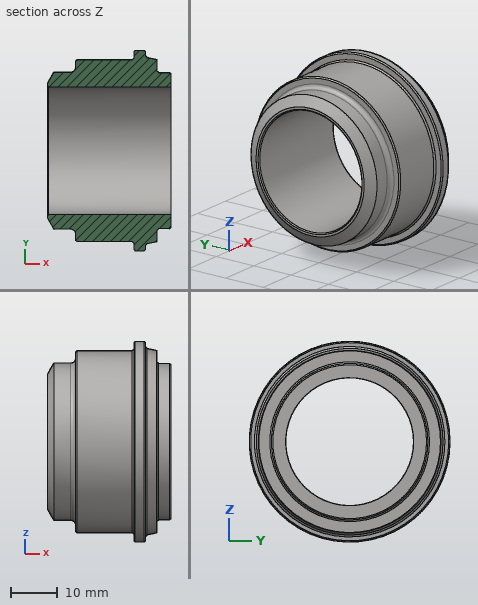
import cadquery as cq
import math

bore_radius = 27.3 / 2
tail_radius = 33.5 / 2
neck_radius = 33.7 / 2
body_radius = 39.0 / 2
flange_radius = 43 / 2
cone_end_radius = 19.52
cone_angle = 12.0

body_start = 6.0
flange_start = 18.5
flange_end = 21.03
cone_end = 23.48
total_length = 26.5

bevel_length = 1.38
bevel_height = 2.4
bore_chamfer = 0.25
neck_fillet = 1.05
step_chamfer = 0.35
edge_chamfer = 0.3
cone_edge_chamfer = 0.1

cone_start_radius = cone_end_radius + (cone_end - flange_end) * math.tan(math.radians(cone_angle))


def step_edge(solid, x, radius):
    """Select the circular edge of the given radius around the X axis at x."""
    reach = 0.005

    def is_wanted(edge):
        box = edge.BoundingBox()
        return abs(box.center.x - x) < reach and box.xlen < reach and abs(box.ylen / 2 - radius) < reach

    return solid.newObject([edge for edge in solid.edges().vals() if is_wanted(edge)])


half_section = (
    cq.Workplane("XY")
    .moveTo(bore_chamfer, bore_radius)
    .lineTo(0, bore_radius + bore_chamfer)
    .lineTo(0, neck_radius - bevel_height)
    .lineTo(bevel_length, neck_radius)
    .lineTo(body_start, neck_radius)
    .lineTo(body_start, body_radius)
    .lineTo(flange_start, body_radius)
    .lineTo(flange_start, flange_radius)
    .lineTo(flange_end, flange_radius)
    .lineTo(flange_end, cone_start_radius)
    .lineTo(cone_end, cone_end_radius)
    .lineTo(cone_end, tail_radius)
    .lineTo(total_length, tail_radius)
    .lineTo(total_length, bore_radius)
    .close()
)
sleeve = half_section.revolve(360, (0, 0, 0), (1, 0, 0))

sleeve = step_edge(sleeve, body_start, neck_radius).fillet(neck_fillet)

chamfered_edges = [
    (body_start, body_radius, edge_chamfer),
    (flange_start, body_radius, step_chamfer),
    (flange_start, flange_radius, edge_chamfer),
    (flange_end, flange_radius, edge_chamfer),
    (flange_end, cone_start_radius, step_chamfer),
    (cone_end, cone_end_radius, cone_edge_chamfer),
    (cone_end, tail_radius, step_chamfer),
    (total_length, tail_radius, edge_chamfer),
]
for edge_x, edge_radius, chamfer_size in chamfered_edges:
    sleeve = step_edge(sleeve, edge_x, edge_radius).chamfer(chamfer_size)

result = sleeve